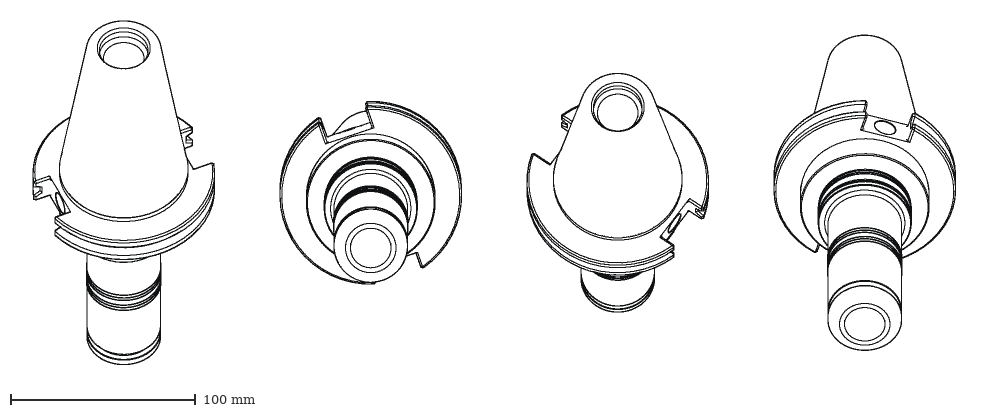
import cadquery as cq
import math

total_length = 248.0
taper_length = 101.6
gauge_gap = 3.2
flange_height = 16.1
gauge_z = total_length - taper_length
flange_top = gauge_z - gauge_gap
flange_bottom = flange_top - flange_height

gauge_diameter = 69.85
taper_rate = 7 / 24
taper_tip_fillet = 2.0
relief_depth = 1.1

flange_diameter = 98.43
flange_chamfer = 1.0
gripper_floor_diameter = 91.2
gripper_floor_width = 3.4
gripper_mouth_width = 7.1
gripper_floor_fillet = 0.6
gripper_z = flange_top - flange_height / 2

slot_width = 25.7
slot_edge_chamfer = 1.1
slot_floor_fillet = 0.8
front_slot_floor = 37.8
back_slot_floor = 35.3

drive_hole_diameter = 11.7
drive_hole_chamfer = 0.25
drive_hole_drop = 7.8
drive_hole_depth = 9.0
drill_point_angle = 140.0

shoulder_bottom = 111.6
shoulder_chamfer = 0.6
undercut_depth = 0.4
undercut_height = 2.2

collar_diameter = 50.5
collar_bottom = 96.6
collar_chamfer = 0.4
collar_top_diameter = 50.3
collar_top_step_z = 110.4
collar_groove_depth = 0.25
upper_groove_z = 108.1
upper_groove_width = 1.5
upper_groove_flank = 0.0
lower_groove_z = 100.7
lower_groove_width = 2.4
lower_groove_flank = 0.75
collar_root_diameter = 43.5
collar_root_height = 2.0

shank_diameter = 40.0
ring_diameter = 40.5
ring_middle_z = 56.6
middle_ring_width = 4.0
outer_ring_width = 2.3
ring_gap = 2.1
neck_diameter = 34.0
neck_bottom = 8.2
neck_top = 12.5
neck_edge_chamfer = 0.3
nose_cone_height = 3.9
nose_tip_diameter = 27.4
nose_edge_fillet = 0.8

bore_diameter = 21.96
pilot_diameter = 26.4
pilot_mouth_diameter = 28.7
pilot_mouth_angle = 60.0
pilot_depth = 6.2


def revolve_outline(outline):
    """Solid of revolution about Z from a closed (radius, height) outline."""
    return cq.Workplane("XZ").polyline(outline).close().revolve(360, (0, 0), (0, 1))


def make_shank():
    """Nose, neck and shank, up to the underside of the collar."""
    shank_r = shank_diameter / 2
    neck_r = neck_diameter / 2
    nose = [
        (0, 0),
        (nose_tip_diameter / 2, 0),
        (shank_r, nose_cone_height),
        (shank_r, neck_bottom - neck_edge_chamfer),
        (shank_r - neck_edge_chamfer, neck_bottom),
        (neck_r, neck_bottom),
        (neck_r, neck_top),
        (shank_r - neck_edge_chamfer, neck_top),
        (shank_r, neck_top + neck_edge_chamfer),
        (shank_r, collar_bottom - collar_root_height),
        (collar_root_diameter / 2, collar_bottom),
        (0, collar_bottom),
    ]
    nose_edge = cq.selectors.NearestToPointSelector((0, 0, nose_cone_height))
    return revolve_outline(nose).edges("%CIRCLE").edges(nose_edge).fillet(nose_edge_fillet)


def make_collar():
    """Collar with a stepped top edge, between shank and shoulder."""
    collar_r = collar_diameter / 2
    top_r = collar_top_diameter / 2
    return revolve_outline([
        (0, collar_bottom),
        (collar_r - collar_chamfer, collar_bottom),
        (collar_r, collar_bottom + collar_chamfer),
        (collar_r, collar_top_step_z),
        (top_r, collar_top_step_z),
        (top_r, shoulder_bottom),
        (0, shoulder_bottom),
    ])


def make_head():
    """Shoulder, flange with gripper groove, relief and steep taper."""
    gauge_r = gauge_diameter / 2
    tip_r = gauge_r - taper_length * taper_rate / 2
    flange_r = flange_diameter / 2
    gripper_r = gripper_floor_diameter / 2
    relief_z = (gauge_z + flange_top) / 2
    head = revolve_outline([
        (0, shoulder_bottom),
        (gauge_r - shoulder_chamfer, shoulder_bottom),
        (gauge_r, shoulder_bottom + shoulder_chamfer),
        (gauge_r, flange_bottom - undercut_height),
        (gauge_r - undercut_depth, flange_bottom),
        (flange_r - flange_chamfer, flange_bottom),
        (flange_r, flange_bottom + flange_chamfer),
        (flange_r, gripper_z - gripper_mouth_width / 2),
        (gripper_r, gripper_z - gripper_floor_width / 2),
        (gripper_r, gripper_z + gripper_floor_width / 2),
        (flange_r, gripper_z + gripper_mouth_width / 2),
        (flange_r, flange_top - flange_chamfer),
        (flange_r - flange_chamfer, flange_top),
        (gauge_r, flange_top),
        (gauge_r - relief_depth, relief_z),
        (gauge_r, gauge_z),
        (tip_r, total_length),
        (0, total_length),
    ])
    return head.faces(">Z").edges().fillet(taper_tip_fillet)


def add_rings(body):
    """Wide raised ring around the shank with a narrower one on either side."""
    outer_offset = middle_ring_width / 2 + ring_gap + outer_ring_width / 2
    rings = [
        (ring_middle_z - outer_offset, outer_ring_width),
        (ring_middle_z, middle_ring_width),
        (ring_middle_z + outer_offset, outer_ring_width),
    ]
    for middle, width in rings:
        start = cq.Workplane("XY").workplane(offset=middle - width / 2)
        body = body.union(start.circle(ring_diameter / 2).extrude(width))
    return body


def cut_collar_groove(body, middle, width, flank):
    """Shallow collar groove; flank is the height of each sloped side (0 for square)."""
    collar_r = collar_diameter / 2
    floor_r = collar_r - collar_groove_depth
    half_floor = width / 2 - flank
    groove = revolve_outline([
        (collar_r, middle - width / 2),
        (floor_r, middle - half_floor),
        (floor_r, middle + half_floor),
        (collar_r, middle + width / 2),
    ])
    return body.cut(groove)


def cut_drive_slot(body, side, floor):
    """Slot through the flange on one Y side (-1 or 1), down to a flat floor."""
    depth = flange_diameter / 2
    slot = cq.Workplane("XY").box(slot_width, depth, flange_height, centered=(True, True, False))
    return body.cut(slot.translate((0, side * (floor + depth / 2), flange_bottom)))


def is_slot_corner(edge):
    """True for the upright edge where a slot wall meets the slot floor."""
    box = edge.BoundingBox()
    return edge.geomType() == "LINE" and box.zmax - box.zmin > flange_height / 2


def finish_slots(body):
    """Bevel the open edges of the slot walls, then round the floor corners."""
    wall_edges = body.faces("|X").edges().vals()
    open_edges = [edge for edge in wall_edges if not is_slot_corner(edge)]
    body = body.newObject(open_edges).chamfer(slot_edge_chamfer)
    corners = [edge for edge in body.faces("|X").edges().vals() if is_slot_corner(edge)]
    return body.newObject(corners).fillet(slot_floor_fillet)


def round_gripper_floor(body):
    """Round the corners between the gripper groove's floor and its flanks."""
    gripper_r = gripper_floor_diameter / 2
    arcs = body.edges("%CIRCLE").vals()
    floor_arcs = [arc for arc in arcs if math.isclose(arc.radius(), gripper_r)]
    return body.newObject(floor_arcs).fillet(gripper_floor_fillet)


def cut_drive_hole(body):
    """Blind hole with a drill point in the middle of the front slot floor."""
    radius = drive_hole_diameter / 2
    point_depth = radius / math.tan(math.radians(drill_point_angle / 2))
    hole = revolve_outline([
        (0, 0),
        (radius + drive_hole_chamfer, 0),
        (radius, -drive_hole_chamfer),
        (radius, -drive_hole_depth),
        (0, -drive_hole_depth - point_depth),
    ])
    hole = hole.rotate((0, 0, 0), (1, 0, 0), 90)
    return body.cut(hole.translate((0, -front_slot_floor, flange_top - drive_hole_drop)))


def cut_bore(body):
    """Through bore with a pilot counterbore that opens in a conical mouth."""
    bore_r = bore_diameter / 2
    pilot_r = pilot_diameter / 2
    mouth_r = pilot_mouth_diameter / 2
    mouth_depth = (mouth_r - pilot_r) / math.tan(math.radians(pilot_mouth_angle / 2))
    pilot_bottom = total_length - pilot_depth
    bore = revolve_outline([
        (0, 0),
        (bore_r, 0),
        (bore_r, pilot_bottom - (pilot_r - bore_r)),
        (pilot_r, pilot_bottom),
        (pilot_r, total_length - mouth_depth),
        (mouth_r, total_length),
        (0, total_length),
    ])
    return body.cut(bore)


head = make_head()
head = cut_drive_slot(head, -1, front_slot_floor)
head = cut_drive_slot(head, 1, back_slot_floor)
head = finish_slots(head)
head = round_gripper_floor(head)
head = cut_drive_hole(head)

shank = add_rings(make_shank())

collar = make_collar()
collar = cut_collar_groove(collar, upper_groove_z, upper_groove_width, upper_groove_flank)
collar = cut_collar_groove(collar, lower_groove_z, lower_groove_width, lower_groove_flank)

result = cut_bore(head.union(collar).union(shank))